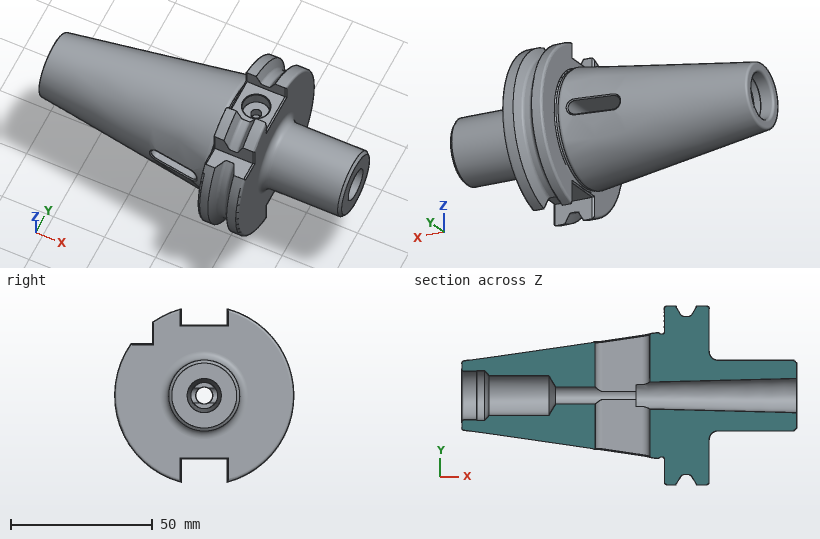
import cadquery as cq
import math

total_length = 118.4
gauge_x = 68.9
gauge_radius = 22.3
taper_slope = 7 / 24 / 2
nose_radius = gauge_radius - gauge_x * taper_slope
nose_fillet = 1.0

neck_start = 70.2
neck_radius = 21.8
neck_fillet = 0.5

flange_start = 71.5
flange_end = 87.5
flange_mid = (flange_start + flange_end) / 2
flange_radius = 63.3 / 2
flange_fillet = 1.0

groove_mid = 79.3
groove_root_radius = 28.1
groove_root_width = 3.2
groove_wall_angle = 30.0
groove_root_fillet = 1.1

shank_radius = 12.5
shank_chamfer = 1.1
shoulder_fillet = 3.0

bore_radius = 8.5
bore_depth = 5.2
bore_fillet = 1.0
thread_radius = 7.0
thread_depth = 30.8
relief_depth = 0.2
relief_end = 8.0
entry_radius = 7.6
countersink_angle = 120.0
drill_point_angle = 118.0
passage_radius = 3.0

socket_mouth_radius = 6.0
socket_depth = 56.8
socket_slope = 1 / 20 / 2

drift_start = 47.2
drift_end = 66.4
drift_height = 5.2
drift_chamfer = 0.5

key_width = 16.1
upper_key_floor = 25.0
lower_key_floor = 22.5
corner_notch_y = 18.4
corner_notch_z = 18.4
notch_chamfer = 0.5
notch_chamfer_length = 0.6

pocket_radius = 5.0
pocket_depth = 4.7
pocket_chamfer = 0.2
pilot_radius = 1.9
pilot_depth = 3.5


def drill_tip(radius):
    return radius / math.tan(math.radians(drill_point_angle / 2))


def turned_body():
    return (
        cq.Workplane("XZ")
        .moveTo(0, 0)
        .lineTo(0, nose_radius)
        .lineTo(gauge_x, gauge_radius)
        .tangentArcPoint((neck_start, neck_radius), relative=False)
        .lineTo(flange_start - neck_fillet, neck_radius)
        .radiusArc((flange_start, neck_radius + neck_fillet), -neck_fillet)
        .lineTo(flange_start, flange_radius)
        .lineTo(flange_end, flange_radius)
        .lineTo(flange_end, shank_radius + shoulder_fillet)
        .radiusArc((flange_end + shoulder_fillet, shank_radius), -shoulder_fillet)
        .lineTo(total_length - shank_chamfer, shank_radius)
        .lineTo(total_length, shank_radius - shank_chamfer)
        .lineTo(total_length, 0)
        .close()
        .revolve(360, (0, 0, 0), (1, 0, 0))
    )


def v_groove():
    depth = flange_radius - groove_root_radius
    half_root = groove_root_width / 2
    half_mouth = half_root + depth * math.tan(math.radians(groove_wall_angle))
    ring = (
        cq.Workplane("XZ")
        .moveTo(groove_mid - half_mouth, flange_radius)
        .lineTo(groove_mid - half_root, groove_root_radius)
        .lineTo(groove_mid + half_root, groove_root_radius)
        .lineTo(groove_mid + half_mouth, flange_radius)
        .close()
        .revolve(360, (0, 0, 0), (1, 0, 0))
    )
    root_edges = cq.selectors.RadiusNthSelector(0)
    return ring.edges("%CIRCLE").edges(root_edges).fillet(groove_root_fillet)


def bores():
    tip = drill_tip(thread_radius) - drill_tip(passage_radius)
    relief_radius = bore_radius + relief_depth
    countersink_length = (entry_radius - thread_radius) / math.tan(math.radians(countersink_angle / 2))
    thread_start = relief_end + relief_radius - entry_radius + countersink_length
    socket_start = total_length - socket_depth
    socket_end_radius = socket_mouth_radius - socket_depth * socket_slope
    return (
        cq.Workplane("XZ")
        .moveTo(0, 0)
        .lineTo(0, bore_radius + bore_fillet)
        .radiusArc((bore_fillet, bore_radius), -bore_fillet)
        .lineTo(bore_depth, bore_radius)
        .lineTo(bore_depth + relief_depth, relief_radius)
        .lineTo(relief_end, relief_radius)
        .lineTo(thread_start - countersink_length, entry_radius)
        .lineTo(thread_start, thread_radius)
        .lineTo(thread_depth, thread_radius)
        .lineTo(thread_depth + tip, passage_radius)
        .lineTo(socket_start, passage_radius)
        .lineTo(socket_start, socket_end_radius)
        .lineTo(total_length, socket_mouth_radius)
        .lineTo(total_length, 0)
        .close()
        .revolve(360, (0, 0, 0), (1, 0, 0))
    )


def cut_drift_slot(body):
    length = drift_end - drift_start
    slot = (
        cq.Workplane("XZ")
        .center((drift_start + drift_end) / 2, 0)
        .slot2D(length, drift_height)
        .extrude(flange_radius, both=True)
    )
    slotted = body.cut(slot)
    walls = slotted.faces(
        cq.selectors.BoxSelector(
            (drift_start, -gauge_radius, -drift_height),
            (drift_end, gauge_radius, drift_height),
        )
    )
    return walls.edges("not |Y").chamfer(drift_chamfer)


def rectangle(plane, y_low, y_high, z_low, z_high):
    corners = [(y_low, z_low), (y_high, z_low), (y_high, z_high), (y_low, z_high)]
    return plane.polyline(corners).close()


def notch(y_low, y_high, z_low, z_high):
    """Box across the flange, flared by a chamfer where it leaves each flange face."""
    start_plane = cq.Workplane("YZ", origin=(flange_start, 0, 0))
    box = rectangle(start_plane, y_low, y_high, z_low, z_high).extrude(flange_end - flange_start)
    for x, inward in ((flange_start, 1), (flange_end, -1)):
        rim = rectangle(
            cq.Workplane("YZ", origin=(x, 0, 0)),
            y_low - notch_chamfer,
            y_high + notch_chamfer,
            z_low - notch_chamfer,
            z_high + notch_chamfer,
        )
        inner_plane = rim.workplane(offset=inward * notch_chamfer_length)
        flare = rectangle(inner_plane, y_low, y_high, z_low, z_high).loft(ruled=True)
        box = box.union(flare)
    return box


def data_pocket():
    floor = upper_key_floor - pocket_depth
    pilot_end = floor - pilot_depth
    return (
        cq.Workplane("XZ")
        .moveTo(0, upper_key_floor)
        .lineTo(pocket_radius + pocket_chamfer, upper_key_floor)
        .lineTo(pocket_radius, upper_key_floor - pocket_chamfer)
        .lineTo(pocket_radius, floor)
        .lineTo(pilot_radius, floor)
        .lineTo(pilot_radius, pilot_end)
        .lineTo(0, pilot_end - drill_tip(pilot_radius))
        .close()
        .revolve(360, (0, 0, 0), (0, 1, 0))
        .translate((flange_mid, 0, 0))
    )


body = turned_body()
flange_rims = body.edges("%CIRCLE").edges(cq.selectors.RadiusNthSelector(-1))
body = flange_rims.fillet(flange_fillet)
body = body.faces("<X").edges().fillet(nose_fillet)
body = body.cut(v_groove())
body = cut_drift_slot(body)
body = body.cut(bores())

half_key = key_width / 2
body = body.cut(notch(-half_key, half_key, upper_key_floor, flange_radius))
body = body.cut(notch(-half_key, half_key, -flange_radius, -lower_key_floor))
body = body.cut(notch(-flange_radius, -corner_notch_y, corner_notch_z, flange_radius))
result = body.cut(data_pocket())